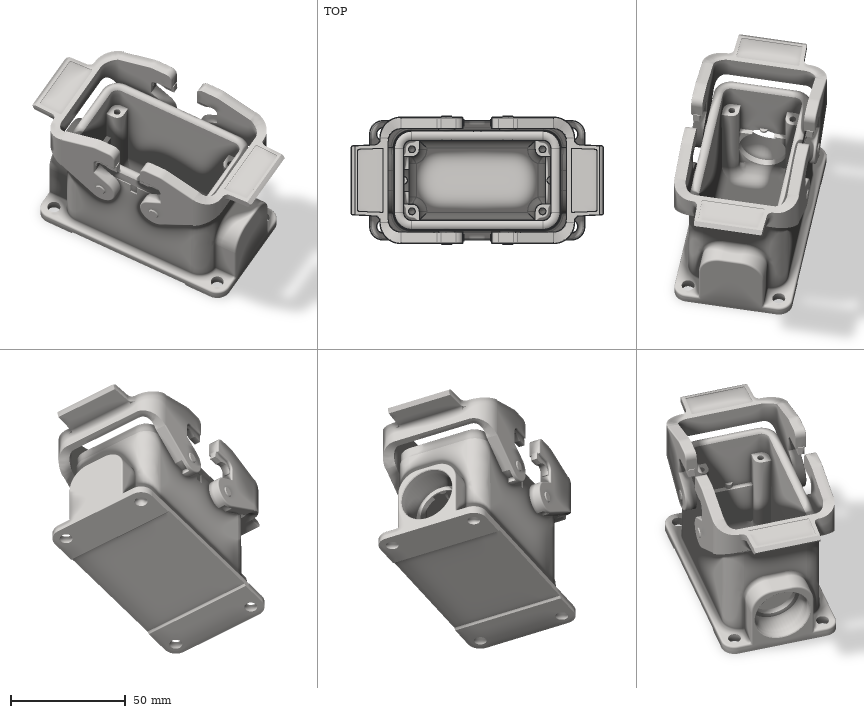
import cadquery as cq
import math

FLANGE_LENGTH = 93.9
FLANGE_WIDTH = 52.1
FLANGE_HEIGHT = 4.0
FLANGE_CORNER_RADIUS = 5.9
FLANGE_EDGE_RADIUS = 0.8
MOUNTING_HOLE_DIAMETER = 5.6
RELIEF_LENGTH = 57.9
RELIEF_DEPTH = 0.9

BODY_LENGTH = 73.4
BODY_WIDTH = 44.1
BODY_TOP = 48.1
BODY_CORNER_RADIUS = 7.7
BODY_DRAFT = 0.35
FOOT_RADIUS = 0.8
RIM_LENGTH = 72.2
RIM_WIDTH = 42.9
RIM_HEIGHT = 4.8
RIM_CORNER_RADIUS = 7.5
RIM_CROWN = 1.0
RIM_THICKNESS = 4.0
NOTCH_WIDTH = 3.3
NOTCH_HEIGHT = 4.8
NOTCH_DEPTH = 0.7

FLOOR_HEIGHT = 3.4
CAVITY_LENGTH = RIM_LENGTH - 2 * RIM_THICKNESS
CAVITY_WIDTH = RIM_WIDTH - 2 * RIM_THICKNESS
CAVITY_CORNER_RADIUS = RIM_CORNER_RADIUS - RIM_THICKNESS
CAVITY_DRAFT = 0.3
FLOOR_FILLET = 3.3
LEDGE_HEIGHT = 26.4
LEDGE_DEPTH = 2.3
NIB_RADIUS = 1.6
NIB_HEIGHT = 2.2
POST_TOP = 42.4
POST_RADIUS = 3.2
POST_X = 28.5
POST_Y = 13.5
SCREW_HOLE_DIAMETER = 3.0
SCREW_HOLE_DEPTH = 13.2
DRILL_TIP_HEIGHT = 0.9

ENTRY_WIDTH = 28.6
ENTRY_TOP = 31.7
ENTRY_CORNER_RADIUS = 9.9
ENTRY_EDGE_RADIUS = 0.8
BORE_HEIGHT = 17.0
BORE_DIAMETER = 25.0
BORE_MOUTH_DIAMETER = 25.6
OPENING_DIAMETER = 21.0
BORE_DEPTH = 14.3

PIVOT_X = 13.3
PIVOT_Z = 43.8
PIVOT_RADIUS = 7.0
LEVER_BACK = 42.5
LEVER_TOP = 71.8
LEVER_WIDTH = 55.2
ARM_THICKNESS = 5.1
BACK_THICKNESS = 3.6
LEVER_OUTER_RADIUS = 9.2
LEVER_INNER_RADIUS = 5.5
LEVER_EDGE_RADIUS = 0.5
BACK_LOWER_Z = 53.9
BACK_UPPER_Z = 64.0
SLOPE_END_X = 16.7
HOOK_TIP_X = 6.4
HOOK_TIP_RADIUS = 3.0
SLOPE_END_RADIUS = 6.6
HOOK_UNDERSIDE_Z = 62.9
THROAT_X = 16.6
THROAT_LOWER_Z = 53.8
THROAT_RADIUS = 3.0
CATCH_THICKNESS = 2.9
CATCH_INSET = 1.1
CATCH_TIP_X = 5.7
CATCH_ROOT_X = 6.0
CATCH_BOTTOM_Z = 59.8
CATCH_HEEL_Z = 57.8
CATCH_OVERLAP = 0.5
HEEL_DEPTH = 2.2
HEEL_LENGTH = 5.6
HEEL_SKIN = 1.5
CORNER_SECTIONS = 7

GRIP_END_X = 55.0
GRIP_THICKNESS = 3.2
GRIP_ROOT_HALF_WIDTH = 15.5
GRIP_TIP_HALF_WIDTH = 15.1
GRIP_FLARE = 2.4
GRIP_CORNER_RADIUS = 0.9
GRIP_TOP_END_X = 53.2
GRIP_BOTTOM_END_X = 53.7
GRIP_NOSE_DEPTH = 1.3
GRIP_ROOT_RADIUS = 1.3
PANEL_LENGTH = 11.1
PANEL_ROOT_X = 41.0
PANEL_ROOT_HALF_WIDTH = 14.0
PANEL_TIP_HALF_WIDTH = 13.5
PANEL_DEPTH = 0.3
PANEL_CORNER_RADIUS = 0.5

OVERALL_WIDTH = 56.1
PIN_DIAMETER = 4.0
PIN_HEAD_DIAMETER = 4.8
COLLAR_DIAMETER = 7.0
COLLAR_SEAT = 0.1


def rounded_block(length, width, height, corner_radius, bottom, draft=0):
    """A block on the Z axis with rounded upright edges and an optional draft."""
    outline = cq.Sketch().rect(length, width).vertices().fillet(corner_radius)
    return cq.Workplane("XY").workplane(offset=bottom).placeSketch(outline).extrude(height, taper=draft)


def box_between(x_range, y_range, z_range):
    """A box given by its limits along each axis."""
    size = [high - low for low, high in (x_range, y_range, z_range)]
    corner = cq.Vector(x_range[0], y_range[0], z_range[0])
    return cq.Workplane(cq.Solid.makeBox(*size, corner))


def wall_inset(height):
    """How far the drafted body wall has leaned in at a given height."""
    return (height - FLANGE_HEIGHT) * math.tan(math.radians(BODY_DRAFT))


def cylinder_along_y(diameter, y_start, y_end):
    """A cylinder on the pivot axis of the lever on the -X side."""
    return cq.Workplane(
        cq.Solid.makeCylinder(
            diameter / 2, y_end - y_start, cq.Vector(-PIVOT_X, y_start, PIVOT_Z), cq.Vector(0, 1, 0)
        )
    )


def make_flange():
    flange = rounded_block(FLANGE_LENGTH, FLANGE_WIDTH, FLANGE_HEIGHT, FLANGE_CORNER_RADIUS, 0)
    return flange.faces(">Z").edges().fillet(FLANGE_EDGE_RADIUS)


def make_relief():
    """The shallow channel across the underside, with sloping ends."""
    foot = RELIEF_LENGTH / 2
    roof = foot - RELIEF_DEPTH
    return (
        cq.Workplane("XZ")
        .polyline([(-foot, 0), (foot, 0), (roof, RELIEF_DEPTH), (-roof, RELIEF_DEPTH)])
        .close()
        .extrude(FLANGE_WIDTH / 2, both=True)
    )


def make_entry():
    """The arched boss across both ends of the housing."""
    arch = (
        cq.Workplane("YZ")
        .rect(ENTRY_WIDTH, 2 * ENTRY_TOP)
        .extrude(FLANGE_LENGTH / 2, both=True)
        .edges("|X and >Z")
        .fillet(ENTRY_CORNER_RADIUS)
    )
    arch = arch.faces("<X or >X").edges("not <Z").fillet(ENTRY_EDGE_RADIUS)
    return arch.intersect(
        box_between((-FLANGE_LENGTH, FLANGE_LENGTH), (-ENTRY_WIDTH, ENTRY_WIDTH), (0, ENTRY_TOP))
    )


def make_rim():
    """The upright rim, with a crowned top that is an arc in cross-section."""
    rim = rounded_block(RIM_LENGTH, RIM_WIDTH, RIM_HEIGHT, RIM_CORNER_RADIUS, BODY_TOP)
    crown_base = BODY_TOP + RIM_HEIGHT
    middle = rounded_block(
        RIM_LENGTH - RIM_THICKNESS,
        RIM_WIDTH - RIM_THICKNESS,
        RIM_HEIGHT,
        RIM_CORNER_RADIUS - RIM_THICKNESS / 2,
        BODY_TOP,
    )
    path = middle.faces(">Z").wires()
    outer = RIM_WIDTH / 2
    crown = (
        cq.Workplane("YZ")
        .moveTo(outer, crown_base)
        .threePointArc((outer - RIM_THICKNESS / 2, crown_base + RIM_CROWN), (outer - RIM_THICKNESS, crown_base))
        .close()
        .sweep(path)
    )
    return rim.union(crown)


def make_post(side, end):
    """A corner post, rounded about its screw hole; side and end are the signs of X and Y."""
    post = box_between(
        (POST_X - POST_RADIUS, CAVITY_LENGTH), (POST_Y - POST_RADIUS, CAVITY_WIDTH), (0, POST_TOP)
    )
    post = post.edges("|Z and <X and <Y").fillet(POST_RADIUS)
    if side < 0:
        post = post.mirror("YZ")
    return post if end > 0 else post.mirror("XZ")


def make_pit():
    """The part of the cavity below the ledges: a cross between the posts, with a filleted floor."""
    post_face_x = POST_X - POST_RADIUS
    post_face_y = POST_Y - POST_RADIUS
    half_length = CAVITY_LENGTH / 2 - LEDGE_DEPTH
    half_width = CAVITY_WIDTH / 2 - (BODY_TOP - LEDGE_HEIGHT) * math.tan(math.radians(CAVITY_DRAFT))
    lengthwise = cq.Sketch().rect(2 * half_length, 2 * post_face_y)
    crosswise = cq.Sketch().rect(2 * post_face_x, 2 * half_width)
    cross = lengthwise.face(crosswise).clean()
    pit = cq.Workplane("XY").workplane(offset=LEDGE_HEIGHT).placeSketch(cross)
    pit = pit.extrude(FLOOR_HEIGHT - LEDGE_HEIGHT)
    for x in (-post_face_x, post_face_x):
        for y in (-post_face_y, post_face_y):
            post_edge = cq.selectors.BoxSelector((x - 1.1, y - 1.1, 0), (x + 1.1, y + 1.1, LEDGE_HEIGHT))
            pit = pit.edges("|Z").edges(post_edge).fillet(POST_RADIUS)
    return pit.faces("<Z").edges().fillet(FLOOR_FILLET)


def make_cavity():
    """The room inside the housing, with the posts, ledges and nibs left standing in it."""
    opening = cq.Sketch().rect(CAVITY_LENGTH, CAVITY_WIDTH).vertices().fillet(CAVITY_CORNER_RADIUS)
    hall = (
        cq.Workplane("XY")
        .workplane(offset=BODY_TOP)
        .placeSketch(opening)
        .extrude(LEDGE_HEIGHT - BODY_TOP, taper=CAVITY_DRAFT)
    )
    for side in (-1, 1):
        for end in (-1, 1):
            hall = hall.cut(make_post(side, end))
    nibs = (
        cq.Workplane("XY")
        .pushPoints([(-CAVITY_LENGTH / 2, 0), (CAVITY_LENGTH / 2, 0)])
        .circle(NIB_RADIUS)
        .extrude(LEDGE_HEIGHT + NIB_HEIGHT)
    )
    mouth = rounded_block(
        CAVITY_LENGTH, CAVITY_WIDTH, RIM_HEIGHT + RIM_CROWN, CAVITY_CORNER_RADIUS, BODY_TOP
    )
    return hall.cut(nibs).union(make_pit()).union(mouth)


def make_bore():
    """The cable bore at the -X end, with its chamfered mouth and its opening into the cavity."""
    axis = cq.Workplane("YZ", origin=(-FLANGE_LENGTH / 2, 0, BORE_HEIGHT))
    opening_depth = (FLANGE_LENGTH - CAVITY_LENGTH) / 2 + 2 * LEDGE_DEPTH
    bore = axis.circle(BORE_DIAMETER / 2).extrude(BORE_DEPTH)
    opening = axis.circle(OPENING_DIAMETER / 2).extrude(opening_depth)
    mouth_depth = (BORE_MOUTH_DIAMETER - BORE_DIAMETER) / 2
    mouth = axis.circle(BORE_MOUTH_DIAMETER / 2).extrude(mouth_depth, taper=45)
    return bore.union(opening).union(mouth)


def make_shell():
    """Flange, body and entries as one lump, with fillets where they meet."""
    body = rounded_block(
        BODY_LENGTH, BODY_WIDTH, BODY_TOP - FLANGE_HEIGHT, BODY_CORNER_RADIUS, FLANGE_HEIGHT, BODY_DRAFT
    )
    shell = make_flange().union(body).union(make_entry())
    reach_x = FLANGE_LENGTH / 2 - FLANGE_CORNER_RADIUS / 2
    reach_y = FLANGE_WIDTH / 2 - 2 * FLANGE_EDGE_RADIUS
    gap = 0.1
    joints = cq.selectors.BoxSelector(
        (-reach_x, -reach_y, FLANGE_HEIGHT - gap), (reach_x, reach_y, FLANGE_HEIGHT + gap)
    )
    for side in (-1, 1):
        joints = joints + cq.selectors.BoxSelector(
            (side * (BODY_LENGTH / 2 - 1.1), -ENTRY_WIDTH, FLANGE_HEIGHT + gap),
            (side * (BODY_LENGTH / 2 + gap), ENTRY_WIDTH, ENTRY_TOP + gap),
        )
    return shell.edges(joints).fillet(FOOT_RADIUS)


def make_mounting_holes():
    hole_x = FLANGE_LENGTH / 2 - FLANGE_CORNER_RADIUS
    hole_y = FLANGE_WIDTH / 2 - FLANGE_CORNER_RADIUS
    centres = cq.Workplane("XY").rect(2 * hole_x, 2 * hole_y, forConstruction=True).vertices()
    return centres.circle(MOUNTING_HOLE_DIAMETER / 2).extrude(FLANGE_HEIGHT)


def make_screw_holes():
    """A blind hole down each corner post, ending in a drill cone."""
    radius = SCREW_HOLE_DIAMETER / 2
    hole = (
        cq.Workplane("XZ")
        .polyline(
            [
                (0, POST_TOP),
                (radius, POST_TOP),
                (radius, POST_TOP - SCREW_HOLE_DEPTH),
                (0, POST_TOP - SCREW_HOLE_DEPTH - DRILL_TIP_HEIGHT),
            ]
        )
        .close()
        .revolve(360, (0, 0), (0, 1))
        .val()
    )
    centres = cq.Workplane("XY").rect(2 * POST_X, 2 * POST_Y, forConstruction=True).vertices()
    return centres.eachpoint(lambda place: hole.moved(place), combine="a")


def make_notches():
    """The small notch under the rim in the middle of each long side."""
    span = BODY_WIDTH - 2 * (wall_inset(BODY_TOP) + NOTCH_DEPTH)
    depth_range = (span / 2, BODY_WIDTH / 2)
    notch = box_between(
        (-NOTCH_WIDTH / 2, NOTCH_WIDTH / 2), depth_range, (BODY_TOP - NOTCH_HEIGHT, BODY_TOP)
    )
    return notch.union(notch.mirror("XZ"))


def make_housing():
    housing = make_shell().union(make_rim())
    for pocket in (
        make_cavity(),
        make_bore(),
        make_relief(),
        make_mounting_holes(),
        make_screw_holes(),
        make_notches(),
    ):
        housing = housing.cut(pocket)
    return housing


def tangent_point(x, z, turn):
    """Where a line from (x, z) touches the pivot boss; turn picks the side."""
    distance = math.hypot(x + PIVOT_X, z - PIVOT_Z)
    angle = math.atan2(z - PIVOT_Z, x + PIVOT_X) + turn * math.acos(PIVOT_RADIUS / distance)
    return -PIVOT_X + PIVOT_RADIUS * math.cos(angle), PIVOT_Z + PIVOT_RADIUS * math.sin(angle)


def make_arm_profile():
    """The side shape of both arms as one slab as wide as the lever, with its outer edges rounded."""
    upper_touch = tangent_point(-THROAT_X, THROAT_LOWER_Z, -1)
    lower_touch = tangent_point(-LEVER_BACK, BACK_LOWER_Z, 1)
    profile = (
        cq.Workplane("XZ")
        .moveTo(-LEVER_BACK, BACK_LOWER_Z)
        .lineTo(-LEVER_BACK, BACK_UPPER_Z)
        .lineTo(-SLOPE_END_X, LEVER_TOP)
        .lineTo(-HOOK_TIP_X - HOOK_TIP_RADIUS, LEVER_TOP)
        .tangentArcPoint((HOOK_TIP_RADIUS, -HOOK_TIP_RADIUS))
        .lineTo(-HOOK_TIP_X, HOOK_UNDERSIDE_Z)
        .lineTo(-THROAT_X + THROAT_RADIUS, HOOK_UNDERSIDE_Z)
        .tangentArcPoint((-THROAT_RADIUS, -THROAT_RADIUS))
        .lineTo(-THROAT_X, THROAT_LOWER_Z)
        .lineTo(*upper_touch)
        .threePointArc((-PIVOT_X + PIVOT_RADIUS, PIVOT_Z), lower_touch)
        .close()
        .extrude(LEVER_WIDTH / 2, both=True)
    )
    slope_end = cq.selectors.NearestToPointSelector((-SLOPE_END_X, 0, LEVER_TOP))
    profile = profile.edges("|Y").edges(slope_end).fillet(SLOPE_END_RADIUS)
    return profile.faces("<Y or >Y").edges().fillet(LEVER_EDGE_RADIUS)


def make_bow():
    """The U of a lever seen along Z: two arms and the back that joins them."""
    outer = box_between((-LEVER_BACK, 0), (-LEVER_WIDTH / 2, LEVER_WIDTH / 2), (0, LEVER_TOP))
    outer = outer.edges("|Z and <X").fillet(LEVER_OUTER_RADIUS)
    inner_half = LEVER_WIDTH / 2 - ARM_THICKNESS
    inner = box_between((-LEVER_BACK + BACK_THICKNESS, 0), (-inner_half, inner_half), (0, LEVER_TOP))
    return outer.cut(inner.edges("|Z and <X").fillet(LEVER_INNER_RADIUS))


def make_corner_wedge(end):
    """A wedge about a corner axis whose top and bottom twist from the level back to the sloping arm."""
    axis_x = LEVER_OUTER_RADIUS - LEVER_BACK
    axis_y = LEVER_WIDTH / 2 - LEVER_OUTER_RADIUS
    top_slope = (LEVER_TOP - BACK_UPPER_Z) / (LEVER_BACK - SLOPE_END_X)
    touch_x, touch_z = tangent_point(-LEVER_BACK, BACK_LOWER_Z, 1)
    bottom_slope = (touch_z - BACK_LOWER_Z) / (touch_x + LEVER_BACK)
    near = LEVER_INNER_RADIUS / 3
    far = LEVER_OUTER_RADIUS + 1.1
    sections = []
    for step in range(CORNER_SECTIONS):
        angle = math.radians(90 + 90 * step / (CORNER_SECTIONS - 1))
        forward = LEVER_OUTER_RADIUS * (1 + math.cos(angle))
        top = BACK_UPPER_Z + top_slope * forward
        bottom = BACK_LOWER_Z + bottom_slope * forward
        corners = [
            cq.Vector(axis_x + reach * math.cos(angle), end * (axis_y + reach * math.sin(angle)), z)
            for reach, z in ((near, bottom), (far, bottom), (far, top), (near, top))
        ]
        sections.append(cq.Wire.makePolygon(corners, close=True))
    return cq.Workplane(cq.Solid.makeLoft(sections))


def make_frame():
    """Arms, corners and back of a lever."""
    axis_x = LEVER_OUTER_RADIUS - LEVER_BACK
    axis_y = LEVER_WIDTH / 2 - LEVER_OUTER_RADIUS
    arms = make_arm_profile().intersect(
        box_between((axis_x, 0), (-LEVER_WIDTH / 2, LEVER_WIDTH / 2), (0, LEVER_TOP))
    )
    arms = arms.intersect(make_bow())
    back = box_between((-LEVER_BACK, axis_x), (-axis_y, axis_y), (BACK_LOWER_Z, BACK_UPPER_Z))
    frame = arms.union(back.intersect(make_bow()))
    for end in (-1, 1):
        frame = frame.union(make_corner_wedge(end).intersect(make_bow()))
    return frame


def make_catch():
    """The thin catch that hangs under the hook of an arm, in the plane y = 0."""
    top = HOOK_UNDERSIDE_Z + CATCH_OVERLAP
    back_x = -THROAT_X - CATCH_OVERLAP
    hollow_side = (-15.5, 60.3)
    hollow_top = (-13.5, 61.2)
    swell_side = (-11.5, 60.7)
    swell_end_x = -9.8
    return (
        cq.Workplane("XZ")
        .moveTo(back_x, CATCH_HEEL_Z)
        .lineTo(-THROAT_X + CATCH_OVERLAP, CATCH_HEEL_Z)
        .threePointArc(hollow_side, hollow_top)
        .threePointArc(swell_side, (swell_end_x, CATCH_BOTTOM_Z))
        .lineTo(-CATCH_TIP_X, CATCH_BOTTOM_Z)
        .lineTo(-CATCH_ROOT_X, top)
        .lineTo(back_x, top)
        .close()
        .extrude(CATCH_THICKNESS / 2, both=True)
    )


def make_grip_plan():
    """The grip seen from above: slightly tapered, flaring into the back of the lever."""
    inside_x = -LEVER_BACK + BACK_THICKNESS / 2
    flare_x = -LEVER_BACK - GRIP_FLARE
    flare_y = GRIP_ROOT_HALF_WIDTH + GRIP_FLARE
    bend = GRIP_FLARE * (1 - math.sqrt(0.5))
    return (
        cq.Workplane("XY")
        .workplane(offset=BACK_UPPER_Z)
        .moveTo(inside_x, flare_y)
        .lineTo(-LEVER_BACK, flare_y)
        .threePointArc((-LEVER_BACK - bend, GRIP_ROOT_HALF_WIDTH + bend), (flare_x, GRIP_ROOT_HALF_WIDTH))
        .lineTo(-GRIP_END_X, GRIP_TIP_HALF_WIDTH)
        .lineTo(-GRIP_END_X, -GRIP_TIP_HALF_WIDTH)
        .lineTo(flare_x, -GRIP_ROOT_HALF_WIDTH)
        .threePointArc((-LEVER_BACK - bend, -GRIP_ROOT_HALF_WIDTH - bend), (-LEVER_BACK, -flare_y))
        .lineTo(inside_x, -flare_y)
        .close()
        .extrude(-GRIP_THICKNESS)
        .edges("|Z and <X")
        .fillet(GRIP_CORNER_RADIUS)
    )


def make_grip_section():
    """The grip seen from the side: a plate with a bevelled nose."""
    bottom = BACK_UPPER_Z - GRIP_THICKNESS
    inside_x = -LEVER_BACK + BACK_THICKNESS / 2
    return (
        cq.Workplane("XZ")
        .polyline(
            [
                (inside_x, bottom),
                (inside_x, BACK_UPPER_Z),
                (-GRIP_TOP_END_X, BACK_UPPER_Z),
                (-GRIP_END_X, BACK_UPPER_Z - GRIP_NOSE_DEPTH),
                (-GRIP_BOTTOM_END_X, bottom),
            ]
        )
        .close()
        .extrude(LEVER_WIDTH / 2, both=True)
    )


def make_grip_root():
    """The concave fillet under the grip where it meets the back of the lever."""
    bottom = BACK_UPPER_Z - GRIP_THICKNESS
    bend = GRIP_ROOT_RADIUS * (1 - math.sqrt(0.5))
    return (
        cq.Workplane("XZ")
        .moveTo(-LEVER_BACK, bottom)
        .lineTo(-LEVER_BACK - GRIP_ROOT_RADIUS, bottom)
        .threePointArc((-LEVER_BACK - bend, bottom - bend), (-LEVER_BACK, bottom - GRIP_ROOT_RADIUS))
        .close()
        .extrude(GRIP_ROOT_HALF_WIDTH, both=True)
    )


def make_panel():
    """The shallow recess in the top of the grip."""
    panel_tip_x = -PANEL_ROOT_X - PANEL_LENGTH
    return (
        cq.Workplane("XY")
        .workplane(offset=BACK_UPPER_Z)
        .polyline(
            [
                (-PANEL_ROOT_X, PANEL_ROOT_HALF_WIDTH),
                (panel_tip_x, PANEL_TIP_HALF_WIDTH),
                (panel_tip_x, -PANEL_TIP_HALF_WIDTH),
                (-PANEL_ROOT_X, -PANEL_ROOT_HALF_WIDTH),
            ]
        )
        .close()
        .extrude(-PANEL_DEPTH)
        .edges("|Z")
        .fillet(PANEL_CORNER_RADIUS)
    )


def make_heel_notch():
    """The notch under the inner side of the +Y arm, behind its pivot."""
    bottom = PIVOT_Z - PIVOT_RADIUS
    return box_between(
        (-PIVOT_X - HEEL_LENGTH, -PIVOT_X),
        (LEVER_WIDTH / 2 - ARM_THICKNESS, LEVER_WIDTH / 2 - HEEL_SKIN),
        (bottom, bottom + HEEL_DEPTH),
    )


def make_pin():
    """The +Y pivot pin: shank from the cavity through the wall, collar, and coned head outside the arm."""
    arm_outer_y = LEVER_WIDTH / 2
    collar_y = BODY_WIDTH / 2 - wall_inset(PIVOT_Z) - COLLAR_SEAT
    shank = cylinder_along_y(PIN_DIAMETER, CAVITY_WIDTH / 2 - COLLAR_SEAT, arm_outer_y)
    collar = cylinder_along_y(COLLAR_DIAMETER, collar_y, arm_outer_y - ARM_THICKNESS)
    head = cq.Solid.makeCone(
        PIN_HEAD_DIAMETER / 2,
        PIN_DIAMETER / 2,
        OVERALL_WIDTH / 2 - arm_outer_y,
        cq.Vector(-PIVOT_X, arm_outer_y, PIVOT_Z),
        cq.Vector(0, 1, 0),
    )
    return shank.union(collar).union(cq.Workplane(head))


def make_lever():
    """The lever on the -X side, its pins trimmed flush with the cavity wall."""
    grip = make_grip_plan().intersect(make_grip_section()).union(make_grip_root())
    lever = make_frame().union(grip).cut(make_panel())
    catch = make_catch().translate((0, LEVER_WIDTH / 2 - CATCH_INSET - CATCH_THICKNESS / 2, 0))
    heel_notch = make_heel_notch()
    pin = make_pin()
    lever = lever.union(catch).union(catch.mirror("XZ"))
    lever = lever.cut(heel_notch).cut(heel_notch.mirror("XZ"))
    lever = lever.union(pin).union(pin.mirror("XZ"))
    return lever.cut(make_cavity())


left_lever = make_lever()
levers = [left_lever, left_lever.mirror("YZ")]
housing = make_housing()
for lever in levers:
    housing = housing.cut(lever)

result = cq.Compound.makeCompound([housing.val(), *[lever.val() for lever in levers]])